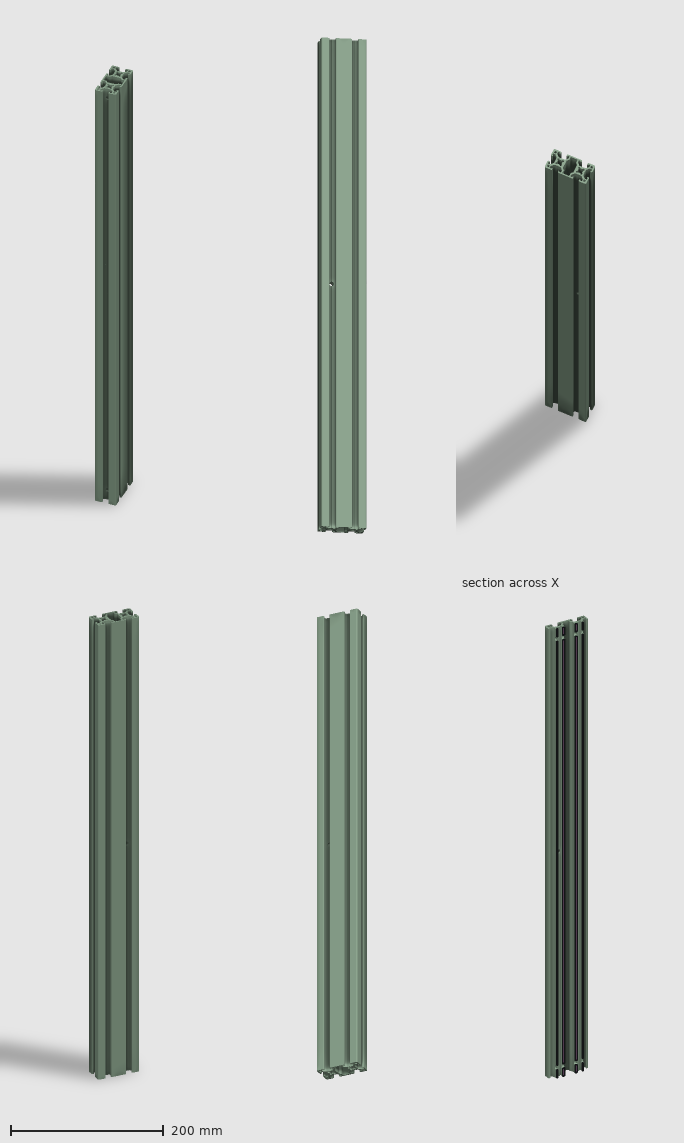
import cadquery as cq
import math

length = 660
depth = 60.0
width = depth / 2
corner_radius = 1.65

slot_mouth_width = 8.5
slot_inner_width = 16.5
mouth_chamfer = 0.45
lip_thickness = 1.8
lip_tip_thickness = 3.0
lip_tip_width = 1.0
groove_width = 1.0
groove_depth = 0.5

core_half = 6.3
web_thickness = 2.5
bore_diameter = 6.5
bore_lobe_span = 11.0
bore_lobe_width = 2.5

chamber_wall = 1.8
chamber_side_height = 10.0
chamber_mid_height = 15.0
chamber_mid_width = 12.0

corner_hollow = 3.0
corner_hollow_inset = 2.4

cross_hole_diameter = 6.0
end_hole_inset = 15.0

half_width = width / 2
core_offset = depth / 4
core_centers = [(0, -core_offset), (0, core_offset)]


def prism(sketch):
    """Extrude a cross-section along the full length, centred on the origin."""
    return sketch.extrude(length / 2, both=True)


def slot():
    """T-slot opening toward +X, measured from the centre of its module."""
    mouth_half = slot_mouth_width / 2
    inner_half = slot_inner_width / 2
    tip_inner_half = mouth_half + lip_tip_width
    flank_shift = web_thickness / math.sqrt(2)
    upper_half = [
        (core_half, groove_width / 2),
        (core_half, core_half - flank_shift),
        (inner_half + flank_shift, inner_half),
        (half_width - lip_thickness, inner_half),
        (half_width - lip_thickness, tip_inner_half),
        (half_width - lip_tip_thickness, tip_inner_half),
        (half_width - lip_tip_thickness, mouth_half),
        (half_width - mouth_chamfer, mouth_half),
        (half_width, mouth_half + mouth_chamfer),
    ]
    lower_half = [(x, -y) for x, y in reversed(upper_half)]
    groove_root = [(core_half - groove_depth, 0)]
    return prism(cq.Workplane("XY").polyline(groove_root + upper_half + lower_half).close())


def chamber():
    """Central chamber between the cores, taller in the middle."""
    side_x = half_width - chamber_wall
    side_y = chamber_side_height / 2
    mid_x = chamber_mid_width / 2
    mid_y = chamber_mid_height / 2
    shoulder_x = mid_x + mid_y - side_y
    right_half = [
        (mid_x, -mid_y),
        (shoulder_x, -side_y),
        (side_x, -side_y),
        (side_x, side_y),
        (shoulder_x, side_y),
        (mid_x, mid_y),
    ]
    left_half = [(-x, -y) for x, y in right_half]
    return prism(cq.Workplane("XY").polyline(right_half + left_half).close())


def core_bore():
    """Round bore with four lobes reaching toward the corners of the core."""
    bore = prism(cq.Workplane("XY").circle(bore_diameter / 2))
    for angle in (45, -45):
        lobes = prism(cq.Workplane("XY").rect(bore_lobe_span, bore_lobe_width))
        bore = bore.union(lobes.rotate((0, 0, 0), (0, 0, 1), angle))
    return bore


def corner_hollows():
    """Square hollows inside the four corner blocks."""
    center_inset = corner_hollow_inset + corner_hollow / 2
    x = half_width - center_inset
    y = depth / 2 - center_inset
    centers = [(-x, -y), (-x, y), (x, -y), (x, y)]
    return prism(cq.Workplane("XY").pushPoints(centers).rect(corner_hollow, corner_hollow))


def end_holes():
    """Holes through the whole depth along Y, one near each end."""
    z = length / 2 - end_hole_inset
    sketch = cq.Workplane("XZ").pushPoints([(0, -z), (0, z)]).circle(cross_hole_diameter / 2)
    return sketch.extrude(depth / 2, both=True)


def middle_hole():
    """Hole through the +Y module along X at mid-length."""
    sketch = cq.Workplane("YZ").center(core_offset, 0).circle(cross_hole_diameter / 2)
    return sketch.extrude(half_width, both=True)


body = prism(cq.Workplane("XY").rect(width, depth)).edges("|Z").fillet(corner_radius)

body = body.cut(chamber()).cut(corner_hollows())
for x, y in core_centers:
    body = body.cut(core_bore().translate((x, y, 0)))

slot_places = [(0, core_offset), (180, core_offset), (90, core_offset)]
slot_places += [(0, -core_offset), (180, -core_offset), (-90, -core_offset)]
for angle, y in slot_places:
    turned_slot = slot().rotate((0, 0, 0), (0, 0, 1), angle)
    body = body.cut(turned_slot.translate((0, y, 0)))

result = body.cut(end_holes()).cut(middle_hole())